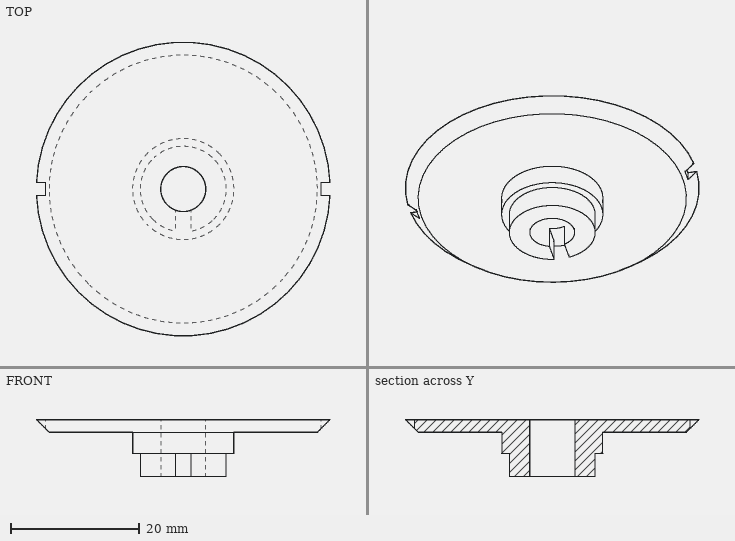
import cadquery as cq

disc_diameter = 45.86
disc_thickness = 2.0
rim_inset = disc_thickness

collar_diameter = 15.8
collar_height = 3.3
spigot_diameter = 13.4
spigot_height = 3.6

bore_diameter = 7.0

notch_width = 2.0
notch_floor_spacing = 43.0

slot_width = 2.4

collar_bottom = spigot_height
disc_bottom = collar_bottom + collar_height
disc_top = disc_bottom + disc_thickness


def make_turned_body():
    """Disc, collar and spigot revolved about Z, with the through bore left open."""
    bore_radius = bore_diameter / 2
    spigot_radius = spigot_diameter / 2
    collar_radius = collar_diameter / 2
    disc_radius = disc_diameter / 2
    half_section = [
        (bore_radius, 0),
        (spigot_radius, 0),
        (spigot_radius, collar_bottom),
        (collar_radius, collar_bottom),
        (collar_radius, disc_bottom),
        (disc_radius - rim_inset, disc_bottom),
        (disc_radius, disc_top),
        (bore_radius, disc_top),
    ]
    return cq.Workplane("XZ").polyline(half_section).close().revolve(360, (0, 0), (0, 1))


def make_rim_notch(side):
    """Cutter for one rim notch; side is +1 for +X and -1 for -X."""
    floor_x = notch_floor_spacing / 2
    cutter_length = disc_diameter - floor_x
    return (
        cq.Workplane("XY", origin=(side * (floor_x + cutter_length / 2), 0, disc_bottom))
        .box(cutter_length, notch_width, disc_thickness, centered=(True, True, False))
    )


def make_spigot_slot():
    """Cutter from the bore axis out through the -Y wall, over the spigot's height."""
    return (
        cq.Workplane("XY", origin=(0, -spigot_diameter / 2, 0))
        .box(slot_width, spigot_diameter, spigot_height, centered=(True, True, False))
    )


result = make_turned_body()
for side in (-1, 1):
    result = result.cut(make_rim_notch(side))
result = result.cut(make_spigot_slot())